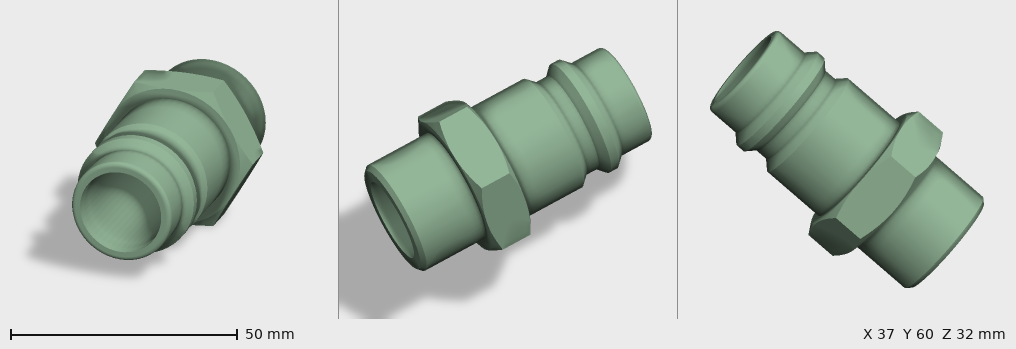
import cadquery as cq
import math

total_length = 60.0
nose_end = 8.0
collar_start = 10.0
collar_end = 12.0
groove_start = 14.0
groove_end = 17.0
body_start = 19.0
hex_start = 34.0
hex_end = 44.0

nose_radius = 11.65
body_radius = 13.6
rear_radius = 13.25
bore_radius = 9.5
edge_size = 1.0

across_flats = 32.0
hex_chamfer_angle = 30.0
flat_radius = across_flats / 2
corner_radius = flat_radius / math.cos(math.radians(30))
hex_chamfer_depth = (corner_radius - flat_radius) * math.tan(math.radians(hex_chamfer_angle))


def revolve_about_y(profile):
    return profile.close().revolve(360, (0, 0, 0), (0, 1, 0))


def make_turned_body():
    """Plug nose, locking collar, groove, body and rear spigot."""
    arc_offset = edge_size * (1 - math.sqrt(0.5))
    profile = (
        cq.Workplane("XY")
        .lineTo(nose_radius - edge_size, 0)
        .threePointArc((nose_radius - arc_offset, arc_offset), (nose_radius, edge_size))
        .lineTo(nose_radius, nose_end)
        .lineTo(body_radius, collar_start)
        .lineTo(body_radius, collar_end)
        .lineTo(nose_radius, groove_start)
        .lineTo(nose_radius, groove_end)
        .lineTo(body_radius, body_start)
        .lineTo(body_radius, hex_start)
        .lineTo(rear_radius, hex_end)
        .lineTo(rear_radius, total_length - edge_size)
        .lineTo(rear_radius - edge_size, total_length)
        .lineTo(0, total_length)
    )
    return revolve_about_y(profile)


def make_hexagon():
    """Hexagon with corners on X, its corners turned to a cone on both faces."""
    prism = (
        cq.Workplane("XZ", origin=(0, hex_start, 0))
        .polygon(6, 2 * corner_radius)
        .extrude(hex_start - hex_end)
    )
    envelope = (
        cq.Workplane("XY")
        .moveTo(0, hex_start)
        .lineTo(flat_radius, hex_start)
        .lineTo(corner_radius, hex_start + hex_chamfer_depth)
        .lineTo(corner_radius, hex_end - hex_chamfer_depth)
        .lineTo(flat_radius, hex_end)
        .lineTo(0, hex_end)
    )
    return prism.intersect(revolve_about_y(envelope))


def make_bore():
    return cq.Workplane("XZ").circle(bore_radius).extrude(-total_length)


result = make_turned_body().union(make_hexagon()).cut(make_bore())